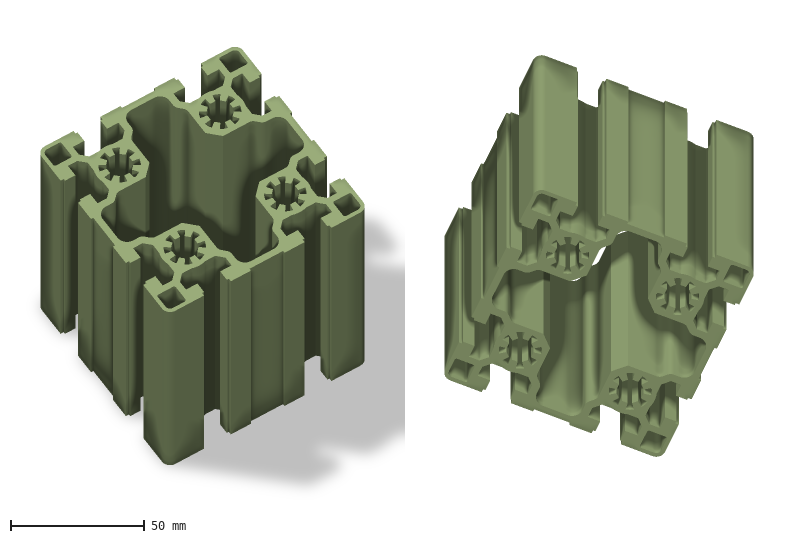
import cadquery as cq

side = 90.0
length = 100.0
corner_radius = 3.6
half_side = side / 2
slot_center = side / 4

mouth_half = 6.0
mouth_depth = 1.4
lip_half = 5.1
lip_depth = 6.0
slot_half = 10.2
slot_chamfer = 2.8
boss_radius = 10.0
floor_offset = 9.5

channel_radius = 8.0
rib_tip_radius = 5.0
rib_count = 8
rib_tip_width = 2.3
rib_root_width = 3.2

hollow_wall = 1.6
hollow_size = 8.1
hollow_outer_radius = 2.0
hollow_inner_radius = 0.8

recess_half = 7.5
recess_depth = 1.0
web_depth = 3.7
arm_tip_half = 9.3
arm_radius = 4.2
arm_half = slot_center - boss_radius
bend_y = 33.4
bend_radius = 3.0
channel_chamfer = 4.8

QUARTER_TURNS = [0, 90, 180, 270]
Z_AXIS = ((0, 0, 0), (0, 0, 1))


def mirrored(half_outline):
    """Close a right-hand outline with its mirror image across the Y axis."""
    return half_outline + [(-x, y) for x, y in reversed(half_outline)]


def prism(points):
    return cq.Workplane("XY").polyline(points).close().extrude(length)


def box(width, height, x, y):
    return cq.Workplane("XY").center(x, y).rect(width, height).extrude(length)


def cylinder(radius, x, y):
    return cq.Workplane("XY").center(x, y).circle(radius).extrude(length)


def slot(x):
    """T-slot opening on the +Y face, centred on x."""
    lip_y = half_side - lip_depth
    step_y = half_side - mouth_depth
    floor_y = slot_center + floor_offset
    cut = prism(mirrored([
        (mouth_half, half_side),
        (mouth_half, step_y),
        (lip_half, step_y),
        (lip_half, lip_y),
        (slot_half, lip_y),
        (slot_half, floor_y + slot_chamfer),
        (slot_half - slot_chamfer, floor_y),
    ])).translate((x, 0, 0))
    return cut.cut(cylinder(boss_radius, x, slot_center))


def screw_channel():
    """Ribbed round channel, as a cutter on the +X +Y diagonal."""
    channel = cylinder(channel_radius, 0, 0)
    rib = prism(mirrored([
        (rib_tip_width / 2, rib_tip_radius),
        (rib_root_width / 2, channel_radius),
    ]))
    for i in range(rib_count):
        channel = channel.cut(rib.rotate(*Z_AXIS, 360 / rib_count * i))
    return channel.translate((slot_center, slot_center, 0))


def corner_hollow():
    """Square corner hollow whose outermost corner follows the rounded outside."""
    middle = half_side - hollow_wall - hollow_size / 2
    hollow = box(hollow_size, hollow_size, middle, middle)
    hollow = hollow.edges("|Z").edges(">(1, 1, 0)").fillet(hollow_outer_radius)
    for corner in ["<(1, 1, 0)", ">(1, -1, 0)", "<(1, -1, 0)"]:
        hollow = hollow.edges("|Z").edges(corner).fillet(hollow_inner_radius)
    return hollow


def cavity_arm():
    """Arm of the cavity toward +Y, narrowing between the two slots."""
    end_y = half_side - web_depth
    wide_y = bend_y - (arm_half - arm_tip_half)
    arm = prism(mirrored([
        (arm_tip_half, end_y),
        (arm_tip_half, bend_y),
        (arm_half, wide_y),
        (arm_half, 0),
    ]))
    bends = cq.selectors.BoxSelector(
        (-side, wide_y - bend_radius, 0), (side, bend_y + bend_radius, length)
    )
    arm = arm.edges("|Z").edges(bends).fillet(bend_radius)
    return arm.edges("|Z").edges(">Y").fillet(arm_radius)


def cavity_middle():
    """Octagonal middle that bevels the four channel corners."""
    width = 2 * (arm_half + channel_chamfer)
    return box(width, width, 0, 0).edges("|Z").chamfer(channel_chamfer)


profile = box(side, side, 0, 0).edges("|Z").fillet(corner_radius)
cutters = [
    slot(-slot_center),
    slot(slot_center),
    screw_channel(),
    corner_hollow(),
    cavity_arm(),
    box(2 * recess_half, recess_depth, 0, half_side - recess_depth / 2),
]
profile = profile.cut(cavity_middle())
for turn in QUARTER_TURNS:
    for cutter in cutters:
        profile = profile.cut(cutter.rotate(*Z_AXIS, turn))

result = profile